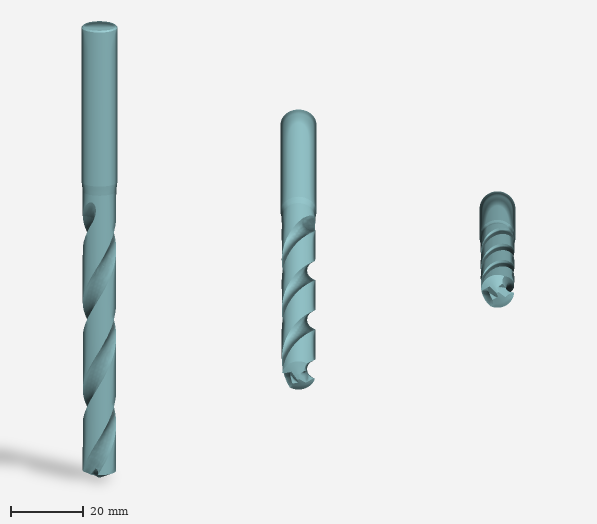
import cadquery as cq
import math

length = 131.0
shank_diameter = 10.0
cutting_diameter = 9.3
shank_end_z = 86.0
neck_end_z = 83.2
joint_z = 62.2
end_chamfer = 0.4
point_angle = 130.0
seam_angle = 37.0

flute_count = 2
flute_lead = 50.6
flute_radius = 3.3
flute_offset = 5.6
helix_end_z = 75.8
runout_top_z = 81.1
helix_end_angle = -81.0
runout_turn = 28.0
start_clearance = 1.3

gash_web = 0.3
gash_top_z = 3.7
gash_top_radius = 2.5
gash_top_shift = 0.9
gash_left = 1.2
gash_left_z = 1.2
gash_right = 2.5
gash_right_z = 2.0

flute_spacing = 360 / flute_count
shank_radius = shank_diameter / 2
cutting_radius = cutting_diameter / 2
point_height = cutting_radius / math.tan(math.radians(point_angle / 2))


def polar(radius, angle):
    """Point in the XY plane at an angle in degrees from +X."""
    return cq.Vector(radius * math.cos(math.radians(angle)), radius * math.sin(math.radians(angle)), 0)


def flute_helix():
    """Helical part of the first flute."""
    height = helix_end_z + start_clearance
    turn = 360 * height / flute_lead
    start = polar(flute_offset, helix_end_angle - turn)
    return (
        cq.Workplane("XY", origin=(0, 0, -start_clearance))
        .moveTo(start.x, start.y)
        .circle(flute_radius)
        .twistExtrude(height, turn)
    )


def flute_runout():
    """Straight part of the first flute, leaning outward until it leaves the drill."""
    start = polar(flute_offset, helix_end_angle) + cq.Vector(0, 0, helix_end_z)
    end = polar(cutting_radius + flute_radius, helix_end_angle + runout_turn) + cq.Vector(0, 0, runout_top_z)
    section = cq.Face.makeFromWires(cq.Wire.makeCircle(flute_radius, start, cq.Vector(0, 0, 1)))
    return cq.Workplane(cq.Solid.extrudeLinear(section, end - start))


def point_gash():
    """Gash of the first flute: a peaked outline above a floor that slopes out from the tip."""
    bottom = -start_clearance
    outline = (
        cq.Workplane("YZ")
        .polyline([
            (-gash_left, bottom),
            (-gash_left, gash_left_z),
            (gash_top_shift, gash_top_z),
            (gash_right, gash_right_z),
            (gash_right, bottom),
        ])
        .close()
        .extrude(shank_diameter)
    )
    depth = (
        cq.Workplane("XZ")
        .polyline([
            (gash_web, bottom),
            (gash_web, 0),
            (gash_top_radius, gash_top_z),
            (shank_diameter, gash_top_z),
            (shank_diameter, bottom),
        ])
        .close()
        .extrude(shank_radius, both=True)
    )
    flute_angle = helix_end_angle - 360 * (helix_end_z - gash_top_z / 2) / flute_lead
    return outline.intersect(depth).rotate((0, 0, 0), (0, 0, 1), flute_angle)


def revolve_blank(profile):
    """Solid of revolution about Z, with its seam turned clear of the flute ends."""
    return profile.close().revolve().rotate((0, 0, 0), (0, 0, 1), seam_angle)


def cut_flutes(blank, cutter):
    """Cut one flute, then keep what the turned copies of that body share, so every flute is cut."""
    single = blank.cut(cutter)
    body = single
    for index in range(1, flute_count):
        body = body.intersect(single.rotate((0, 0, 0), (0, 0, 1), index * flute_spacing))
    return body


def cut_at_each_flute(body, cutter):
    """Cut the same local shape once for each flute."""
    for index in range(flute_count):
        body = body.cut(cutter.rotate((0, 0, 0), (0, 0, 1), index * flute_spacing))
    return body


def make_shank():
    """Shank with its conical neck and the upper ends of the flutes."""
    profile = (
        cq.Workplane("XZ")
        .moveTo(0, joint_z)
        .lineTo(cutting_radius, joint_z)
        .lineTo(cutting_radius, neck_end_z)
        .lineTo(shank_radius, shank_end_z)
        .lineTo(shank_radius, length - end_chamfer)
        .lineTo(shank_radius - end_chamfer, length)
        .lineTo(0, length)
    )
    fluted = cut_flutes(revolve_blank(profile), flute_helix())
    return cut_at_each_flute(fluted, flute_runout())


def make_cutting_body():
    """Fluted body with its conical point and gashes."""
    profile = (
        cq.Workplane("XZ")
        .lineTo(cutting_radius, point_height)
        .lineTo(cutting_radius, joint_z)
        .lineTo(0, joint_z)
    )
    fluted = cut_flutes(revolve_blank(profile), flute_helix())
    return cut_at_each_flute(fluted, point_gash())


shank = make_shank()
cutting_body = make_cutting_body()

result = cq.Compound.makeCompound([shank.val(), cutting_body.val()])